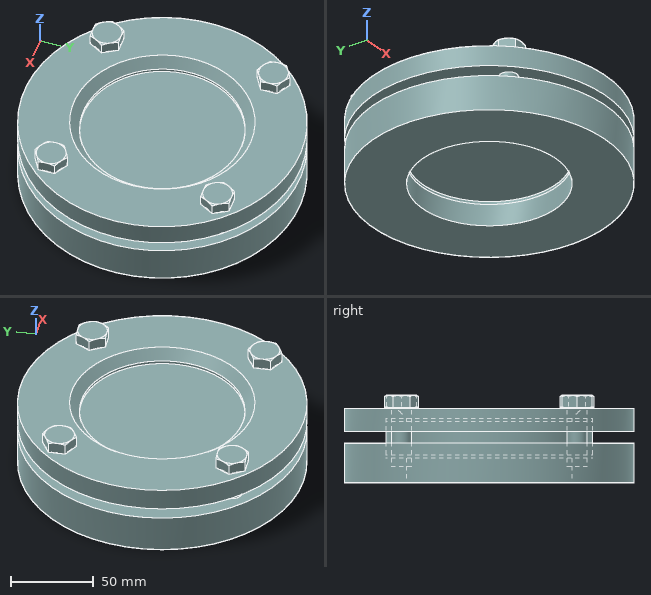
import cadquery as cq
import math

flange_diameter = 175.0
base_thickness = 24.0
cover_thickness = 14.0
flange_gap = 7.0
view_diameter = 100.0
countersink_depth = 6.0
glass_diameter = 125.0
glass_thickness = 20.0
gasket_thickness = 2.0

bolt_count = 4
bolt_circle_diameter = 150.0
first_bolt_angle = 45.0
shank_diameter = 12.0
shank_length = 35.0
head_height = 8.0
across_flats = 18.0
head_top_diameter = across_flats
head_chamfer_angle = 30.0
washer_face_thickness = 0.6
washer_face_diameter = 16.6

cover_bottom = base_thickness + flange_gap
cover_top = cover_bottom + cover_thickness
upper_gasket_top = cover_top - countersink_depth
glass_top = upper_gasket_top - gasket_thickness
glass_bottom = glass_top - glass_thickness
base_seat = glass_bottom - gasket_thickness
bolt_tip = cover_top - shank_length


def cylinder(diameter, bottom, top):
    """Upright cylinder on the Z axis between two levels."""
    return cq.Workplane("XY").workplane(offset=bottom).circle(diameter / 2).extrude(top - bottom)


def at_bolts(shape):
    """Copies of a shape on the bolt circle, each turned with its position."""
    outward = shape.translate((bolt_circle_diameter / 2, 0, 0))
    step = 360.0 / bolt_count
    return [
        outward.rotate((0, 0, 0), (0, 0, 1), first_bolt_angle + i * step)
        for i in range(bolt_count)
    ]


def cut_bolt_holes(flange):
    """Cut the shank holes of all the bolts from a flange."""
    for hole in at_bolts(cylinder(shank_diameter, bolt_tip, cover_top)):
        flange = flange.cut(hole)
    return flange


def make_base():
    """Lower flange with a through bore, a seat for the glass and blind bolt holes."""
    base = cylinder(flange_diameter, 0, base_thickness)
    base = base.cut(cylinder(view_diameter, 0, base_thickness))
    base = base.cut(cylinder(glass_diameter, base_seat, base_thickness))
    return cut_bolt_holes(base)


def make_cover():
    """Upper flange with a glass recess below and a conical opening above."""
    cover = cylinder(flange_diameter, cover_bottom, cover_top)
    cover = cover.cut(cylinder(glass_diameter, cover_bottom, upper_gasket_top))
    view_radius = view_diameter / 2
    cone = cq.Solid.makeCone(
        view_radius,
        view_radius + countersink_depth,
        countersink_depth,
        pnt=cq.Vector(0, 0, upper_gasket_top),
    )
    return cut_bolt_holes(cover.cut(cq.Workplane(cone)))


def make_glass():
    """Flat round sight glass."""
    return cylinder(glass_diameter, glass_bottom, glass_top)


def make_gasket(bottom):
    """Flat ring between the glass and a flange."""
    top = bottom + gasket_thickness
    return cylinder(glass_diameter, bottom, top).cut(cylinder(view_diameter, bottom, top))


def make_bolts():
    """Hexagon bolts with chamfered heads standing on thin round washer faces."""
    across_corners = across_flats / math.cos(math.pi / 6)
    hexagon_bottom = cover_top + washer_face_thickness
    head_top = cover_top + head_height
    hexagon = (
        cq.Workplane("XY")
        .workplane(offset=hexagon_bottom)
        .polygon(6, across_corners)
        .extrude(head_top - hexagon_bottom)
        .rotate((0, 0, 0), (0, 0, 1), -first_bolt_angle)
    )
    chamfer_width = (across_corners - head_top_diameter) / 2
    chamfer_height = chamfer_width * math.tan(math.radians(head_chamfer_angle))
    chamfered_round = cylinder(across_corners, hexagon_bottom, head_top)
    chamfered_round = chamfered_round.faces(">Z").chamfer(chamfer_height, chamfer_width)
    bolt = (
        cylinder(shank_diameter, bolt_tip, hexagon_bottom)
        .union(cylinder(washer_face_diameter, cover_top, hexagon_bottom))
        .union(hexagon.intersect(chamfered_round))
    )
    return at_bolts(bolt)


base = make_base()
cover = make_cover()
glass = make_glass()
lower_gasket = make_gasket(base_seat)
upper_gasket = make_gasket(glass_top)
bolts = make_bolts()

result = cq.Compound.makeCompound(
    [
        base.val(),
        cover.val(),
        glass.val(),
        lower_gasket.val(),
        upper_gasket.val(),
        *[bolt.val() for bolt in bolts],
    ]
)